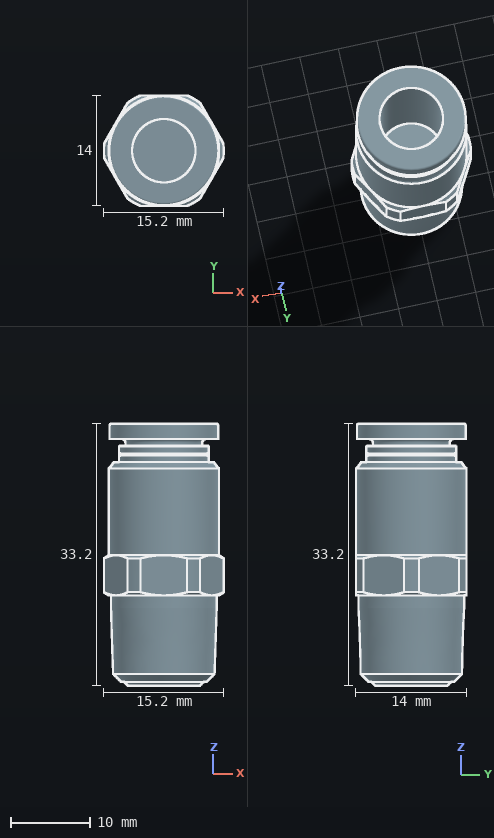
import cadquery as cq
import math


total_height = 33.2
nose_height = 0.5
thread_bottom = 1.53
thread_top = 9.83
hex_bottom = 11.45
hex_top = 16.55
body_shoulder = 27.52
body_bevel_break = 27.72
body_top = 28.32
groove_bottom = 29.15
groove_top = 29.4
collar_top = 30.4
cap_bottom = 31.25

nose_radius = 5.05
nose_chamfer = nose_height
lead_in_radius = 5.4
thread_end_radius = 6.45
thread_radius = 6.7
body_radius = 7.0
body_bevel_break_radius = 6.77
body_top_radius = 6.35
collar_radius = 5.7
collar_edge = 0.13
groove_radius = 5.5
neck_radius = 4.88
neck_fillet = 0.5
cap_radius = 6.9
cap_fillet = 0.3

hex_across_flats = 2 * body_radius
hex_corner_radius = 7.6
hex_chamfer_height = 0.4

bore_radius = 4.02
bore_depth = total_height - hex_top


def revolve_outline(points):
    """Turn a (radius, height) outline about Z."""
    return cq.Workplane("XZ").polyline(points).close().revolve(360, (0, 0, 0), (0, 1, 0))


def make_thread_end():
    return revolve_outline([
        (0, 0),
        (nose_radius - nose_chamfer, 0),
        (nose_radius, nose_height),
        (lead_in_radius, nose_height),
        (thread_end_radius, thread_bottom),
        (thread_radius, thread_top),
        (thread_radius, hex_bottom),
        (0, hex_bottom),
    ])


def make_hexagon():
    """Hexagon with flats facing +Y and -Y, its corners turned round and bevelled."""
    across_corners = hex_across_flats / math.cos(math.radians(30))
    prism = (
        cq.Workplane("XY")
        .workplane(offset=hex_bottom)
        .polygon(6, across_corners)
        .extrude(hex_top - hex_bottom)
    )
    turned_blank = revolve_outline([
        (0, hex_bottom),
        (body_radius, hex_bottom),
        (hex_corner_radius, hex_bottom + hex_chamfer_height),
        (hex_corner_radius, hex_top - hex_chamfer_height),
        (body_radius, hex_top),
        (0, hex_top),
    ])
    return prism.intersect(turned_blank)


def make_body():
    """Cylinder whose top edge has a bevel in two slopes, the upper one steeper."""
    return revolve_outline([
        (0, hex_top),
        (body_radius, hex_top),
        (body_radius, body_shoulder),
        (body_bevel_break_radius, body_bevel_break),
        (body_top_radius, body_top),
        (0, body_top),
    ])


def make_collar():
    return revolve_outline([
        (0, body_top),
        (collar_radius, body_top),
        (collar_radius, groove_bottom),
        (groove_radius, groove_bottom),
        (groove_radius, groove_top),
        (collar_radius, groove_top),
        (collar_radius, collar_top - collar_edge),
        (collar_radius - collar_edge, collar_top),
        (0, collar_top),
    ])


def make_neck_and_cap():
    """Release cap with a rounded rim, on a neck that flares into its underside."""
    rim_middle = cap_fillet * (1 - math.sqrt(0.5))
    flare_middle = neck_fillet * (1 - math.sqrt(0.5))
    return (
        cq.Workplane("XZ")
        .moveTo(0, collar_top)
        .lineTo(neck_radius, collar_top)
        .lineTo(neck_radius, cap_bottom - neck_fillet)
        .threePointArc(
            (neck_radius + flare_middle, cap_bottom - flare_middle),
            (neck_radius + neck_fillet, cap_bottom),
        )
        .lineTo(cap_radius, cap_bottom)
        .lineTo(cap_radius, total_height - cap_fillet)
        .threePointArc(
            (cap_radius - rim_middle, total_height - rim_middle),
            (cap_radius - cap_fillet, total_height),
        )
        .lineTo(0, total_height)
        .close()
        .revolve(360, (0, 0, 0), (0, 1, 0))
    )


def make_bore():
    return (
        cq.Workplane("XY")
        .workplane(offset=total_height - bore_depth)
        .circle(bore_radius)
        .extrude(bore_depth)
    )


result = (
    make_thread_end()
    .union(make_hexagon())
    .union(make_body())
    .union(make_collar())
    .union(make_neck_and_cap())
    .cut(make_bore())
)